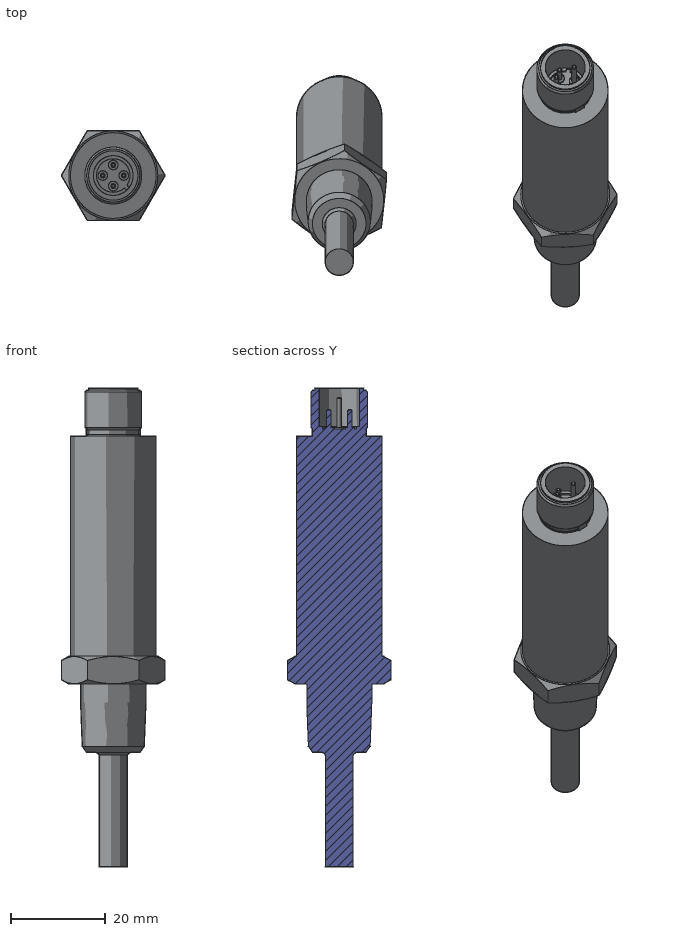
import cadquery as cq
import math

total_height = 101.0
probe_top = 23.6
taper_bottom = 24.1
taper_chamfer_top = 25.5
taper_top = 34.6
hex_bottom = 38.6
hex_top = 44.4
body_top = 90.9
thread_bottom = 92.2

probe_diameter = 6.0
probe_collar_diameter = 7.2
taper_end_diameter = 11.3
taper_small_diameter = 13.1
taper_large_diameter = 13.8
body_diameter = 18.1

hex_across_flats = 19.0
hex_across_corners = hex_across_flats / math.cos(math.radians(30))
hex_chamfer_diameter = 18.8
hex_chamfer_angle = 30

thread_diameter = 12.0
thread_top_chamfer = 0.4
rim_diameter = 10.4
rim_height = 0.4
thread_top = total_height - rim_height
thread_bottom_chamfer = 0.5
neck_diameter = 10.8
collar_diameter = 11.1
collar_height = 0.3
tab_width = 2.2
tab_span = 11.4

socket_diameter = 8.4
socket_depth = 8.1
insert_diameter = 7.1
insert_recess_depth = 0.5
socket_floor = total_height - socket_depth
insert_floor = socket_floor - insert_recess_depth
key_width = 0.8
key_angle = -42

pin_circle_radius = 2.2
pin_diameter = 1.0
pin_base_diameter = 2.0
pin_base_height = 0.3
pin_tip_chamfer = 0.2
long_pin_tip_depth = 2.0
short_pin_tip_depth = 4.5


def cylinder(diameter, bottom, top):
    return cq.Workplane("XY").workplane(offset=bottom).circle(diameter / 2).extrude(top - bottom)


def revolved(profile):
    """Solid of revolution about Z from (diameter, level) points, closed along the axis."""
    points = [(0, profile[0][1])]
    points += [(diameter / 2, level) for diameter, level in profile]
    points.append((0, profile[-1][1]))
    return cq.Workplane("XZ").polyline(points).close().revolve(360, (0, 0, 0), (0, 1, 0))


def make_stem():
    """Probe, tapered thread, body and threaded plug as one turned shape."""
    return revolved([
        (probe_diameter, 0),
        (probe_diameter, probe_top),
        (probe_collar_diameter, taper_bottom),
        (taper_end_diameter, taper_bottom),
        (taper_small_diameter, taper_chamfer_top),
        (taper_large_diameter, taper_top),
        (taper_large_diameter, hex_bottom),
        (body_diameter, hex_bottom),
        (body_diameter, body_top),
        (collar_diameter, body_top),
        (collar_diameter, body_top + collar_height),
        (neck_diameter, body_top + collar_height),
        (neck_diameter, thread_bottom),
        (thread_diameter - 2 * thread_bottom_chamfer, thread_bottom),
        (thread_diameter, thread_bottom + thread_bottom_chamfer),
        (thread_diameter, thread_top - thread_top_chamfer),
        (thread_diameter - 2 * thread_top_chamfer, thread_top),
        (rim_diameter, thread_top),
        (rim_diameter, total_height),
    ])


def make_hexagon():
    """Hexagon with corners on X, its corners turned off at both ends."""
    prism = (
        cq.Workplane("XY").workplane(offset=hex_bottom)
        .polygon(6, hex_across_corners)
        .extrude(hex_top - hex_bottom)
    )
    chamfer_drop = (hex_across_corners - hex_chamfer_diameter) / 2 * math.tan(math.radians(hex_chamfer_angle))
    turned = revolved([
        (hex_chamfer_diameter, hex_bottom),
        (hex_across_corners, hex_bottom + chamfer_drop),
        (hex_across_corners, hex_top - chamfer_drop),
        (hex_chamfer_diameter, hex_top),
    ])
    return prism.intersect(turned)


def make_neck_tabs():
    """Two flat-sided tabs standing out of the neck along X."""
    height = thread_bottom + thread_bottom_chamfer - body_top
    return (
        cq.Workplane("XY").workplane(offset=body_top)
        .rect(tab_span, tab_width)
        .extrude(height)
    )


def make_socket():
    """Stepped round opening with a key slot through its lower step."""
    opening = cylinder(socket_diameter, socket_floor, total_height)
    recess = cylinder(insert_diameter, insert_floor, socket_floor)
    slot = (
        cq.Workplane("XY").workplane(offset=insert_floor)
        .center(socket_diameter / 4, 0)
        .rect(socket_diameter / 2, key_width)
        .extrude(insert_recess_depth)
        .rotate((0, 0, 0), (0, 0, 1), key_angle)
    )
    return opening.union(recess).union(slot)


def make_pin(angle, tip_depth):
    top = total_height - tip_depth
    shaft = cylinder(pin_diameter, insert_floor, top).faces(">Z").chamfer(pin_tip_chamfer)
    base = cylinder(pin_base_diameter, insert_floor, insert_floor + pin_base_height)
    return shaft.union(base).translate((pin_circle_radius, 0, 0)).rotate((0, 0, 0), (0, 0, 1), angle)


result = make_stem().union(make_hexagon()).union(make_neck_tabs()).cut(make_socket())
for pin_angle in (0, 180):
    result = result.union(make_pin(pin_angle, short_pin_tip_depth))
for pin_angle in (90, 270):
    result = result.union(make_pin(pin_angle, long_pin_tip_depth))